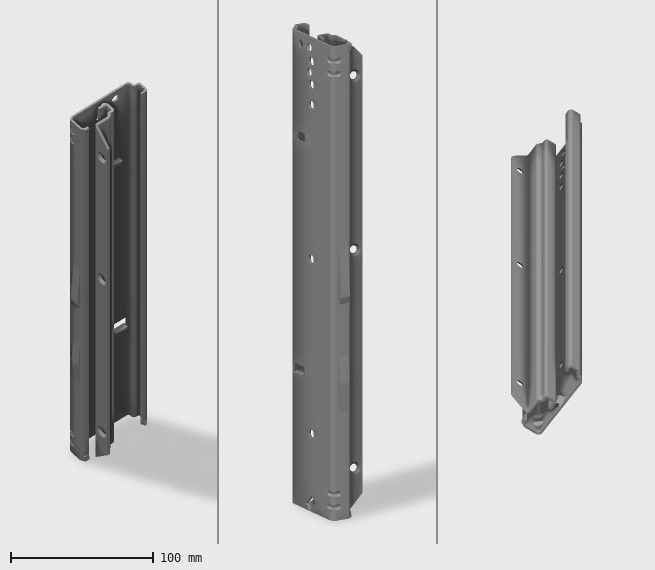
import cadquery as cq
import math

LENGTH = 350.0
HOOK_OVERHANG = 1.0

CHANNEL_SHEET = 1.5
CHANNEL_HEIGHT = 60.5
SHELF_HEIGHT = 55.5
HOOK_LEFT = 5.2
HOOK_RIGHT = 15.5
HOOK_DROP = 6.0
LIP_RIGHT = 16.0
LIP_HEIGHT = 5.5
WIDE_BEND = 2.8
HOOK_BEND = 1.8

BRACKET_SHEET = 2.0
BRACKET_BEND = 1.22
BRACKET_RIGHT = 31.5
BRACKET_TOP = 30.5
LEG_LEFT = 5.5
LEG_BOTTOM = 22.5
STEP_RIGHT = 15.5
STEP_HIGH = 25.5
STEP_LOW = 22.8
WEB_LEFT = 16.5
FLANGE_BOTTOM = 10.0
FLANGE_CHAMFER = 13.5

SCREW_X = 25.0
SCREW_HEIGHTS = (33.5, 194.2, 322.5)
SCREW_HOLE = 5.5
SCREW_HEAD = 9.5

SMALL_HOLE = 6.0
SMALL_HOLES = ((42.0, 342.0), (30.8, 342.0), (30.8, 323.8))
LARGE_HOLE = 6.3
LARGE_HOLES = tuple((28.0, z) for z in (58.5, 187.0, 300.3, 315.5, 332.0))

TAB_REACH = 5.2
TAB_THICKNESS = 2.0
TAB_BEND = 1.8
WINDOW_CORNER = 1.0
UPPER_WINDOW = {"y": 41.5, "z": 273.7, "width": 11.0, "height": 7.7, "tab": 7.5}
LOWER_WINDOW = {"y": 44.8, "z": 101.0, "width": 15.0, "height": 7.7, "tab": 10.5}

BRIDGE_Y = 28.7
BRIDGE_Z = 7.0
BRIDGE_LENGTH = 10.0
BRIDGE_WIDTH = 6.3
BRIDGE_CROWN = 4.0
BRIDGE_ANGLE = 45.0

RAMP_LEFT = 5.5
RAMP_RIGHT = 13.0
LATCH_RAMP = ((202.0, 0), (169.0, 2.0), (165.2, 2.0), (160.0, 0))
GUIDE_RAMP = ((121.5, 0), (102.5, 1.5), (100.5, 1.5), (81.2, 0))

DIMPLE_END_DISTANCES = (11.0, 20.5)
DIMPLE_RADIUS = 2.0
DIMPLE_WALL = 1.0
DIMPLE_AXIS = 4.2

FLARE_LENGTH = 5.0
LIP_FLARE_START = 1.8
LIP_FLARE_STEP = 0.5
LIP_FLARE = 0.7
HOOK_FLARE = 1.0
HOOK_FLARE_Y = (56.5, 58.5)


def bent_strip(path, radii, thickness):
    """Extrude a strip of sheet along Z; path is its mid-line, with one bend radius per inner corner."""
    points = [cq.Vector(x, y) for x, y in path]
    half = thickness / 2

    directions = [(end - start).normalized() for start, end in zip(points, points[1:])]

    def left_of(direction):
        return cq.Vector(-direction.y, direction.x)

    def bend(corner, radius, side):
        """Start, middle and finish of the arc on one side of a corner."""
        into, out = directions[corner - 1], directions[corner]
        turn = math.copysign(1, into.cross(out).z)
        tangent = radius * math.tan(into.getAngle(out) / 2)
        start = points[corner] - into * tangent
        finish = points[corner] + out * tangent
        centre = start + left_of(into) * (turn * radius)
        middle = centre + (points[corner] - centre).normalized() * radius
        scale = 1 - side * turn * half / radius
        return [centre + (point - centre) * scale for point in (start, middle, finish)]

    def add_bends(outline, bends):
        for start, middle, finish in bends:
            outline = outline.lineTo(start.x, start.y)
            outline = outline.threePointArc((middle.x, middle.y), (finish.x, finish.y))
        return outline

    left_bends = [bend(corner, radius, 1) for corner, radius in enumerate(radii, start=1)]
    right_bends = [bend(corner, radius, -1)[::-1] for corner, radius in enumerate(radii, start=1)]
    first_offset = left_of(directions[0]) * half
    last_offset = left_of(directions[-1]) * half
    first_left, first_right = points[0] + first_offset, points[0] - first_offset
    last_left, last_right = points[-1] + last_offset, points[-1] - last_offset

    outline = cq.Workplane("XY", origin=(0, 0, HOOK_OVERHANG)).moveTo(first_left.x, first_left.y)
    outline = add_bends(outline, left_bends)
    outline = outline.lineTo(last_left.x, last_left.y).lineTo(last_right.x, last_right.y)
    outline = add_bends(outline, reversed(right_bends))
    outline = outline.lineTo(first_right.x, first_right.y)
    return outline.close().extrude(LENGTH - HOOK_OVERHANG)


def block(x_range, y_range, z_range):
    """Box between two limits on each axis."""
    sizes = [high - low for low, high in (x_range, y_range, z_range)]
    corner = (x_range[0], y_range[0], z_range[0])
    return cq.Workplane("XY").box(*sizes, centered=False).translate(corner)


def channel_section():
    half = CHANNEL_SHEET / 2
    shelf = SHELF_HEIGHT - half
    crown = CHANNEL_HEIGHT - half
    path = [
        (LIP_RIGHT - half, LIP_HEIGHT),
        (LIP_RIGHT - half, half),
        (half, half),
        (half, shelf),
        (HOOK_LEFT + half, shelf),
        (HOOK_LEFT + half, crown),
        (HOOK_RIGHT - half, crown),
        (HOOK_RIGHT - half, CHANNEL_HEIGHT - HOOK_DROP),
    ]
    radii = [WIDE_BEND] * 3 + [HOOK_BEND] * 3
    return bent_strip(path, radii, CHANNEL_SHEET)


def plate_holes(places, diameter):
    return cq.Workplane("YZ").pushPoints(places).circle(diameter / 2).extrude(CHANNEL_SHEET)


def add_window(channel, window, hinge):
    """Cut a window and fold a tab inwards from its top (hinge = 1) or bottom (hinge = -1) edge."""
    edge = window["z"] + hinge * window["height"] / 2
    opening = (
        cq.Workplane("YZ")
        .center(window["y"], window["z"])
        .rect(window["width"], window["height"])
        .extrude(CHANNEL_SHEET)
        .edges("|X")
        .fillet(WINDOW_CORNER)
    )
    tab_half = window["tab"] / 2
    tab_z = sorted((edge, edge - hinge * TAB_THICKNESS))
    tab = block((0, TAB_REACH), (window["y"] - tab_half, window["y"] + tab_half), tab_z)
    bend_side = "<X and >Z" if hinge < 0 else "<X and <Z"
    tab = tab.edges(bend_side).fillet(TAB_BEND)
    return channel.cut(opening).union(tab)


def add_bridge(channel):
    """Strip slit along both long sides and pushed inwards, leaving an arched bridge."""
    half = BRIDGE_LENGTH / 2
    outer_crown = BRIDGE_CROWN + CHANNEL_SHEET
    crown_half = half - BRIDGE_CROWN + CHANNEL_SHEET
    side = BRIDGE_WIDTH / 2
    opening = block((0, CHANNEL_SHEET), (-half, half), (-side, side))
    bridge_outline = [
        (0, -half),
        (BRIDGE_CROWN, -crown_half),
        (BRIDGE_CROWN, crown_half),
        (0, half),
        (CHANNEL_SHEET, half),
        (outer_crown, crown_half),
        (outer_crown, -crown_half),
        (CHANNEL_SHEET, -half),
    ]
    bridge = cq.Workplane("XY", origin=(0, 0, -side)).polyline(bridge_outline).close().extrude(BRIDGE_WIDTH)

    def placed(shape):
        turned = shape.rotate((0, 0, 0), (1, 0, 0), -BRIDGE_ANGLE)
        return turned.translate((0, BRIDGE_Y, BRIDGE_Z))

    return channel.cut(placed(opening)).union(placed(bridge))


def flange_ramp(profile):
    """Raised ramp below the flange; profile lists (Z, depth below the flange)."""
    root = CHANNEL_SHEET / 2
    top_z, bottom_z = profile[0][0], profile[-1][0]
    outline = [(root, top_z)] + [(-depth, z) for z, depth in profile] + [(root, bottom_z)]
    ramp = cq.Workplane("YZ", origin=(RAMP_LEFT, 0, 0)).polyline(outline).close()
    return ramp.extrude(RAMP_RIGHT - RAMP_LEFT)


def dimple_rod(z, radius):
    """Cylinder lying across the lower bend at 45 degrees."""
    start = cq.Vector(2 * DIMPLE_AXIS, -DIMPLE_AXIS, z)
    length = 3 * DIMPLE_AXIS * math.sqrt(2)
    return cq.Workplane(cq.Solid.makeCylinder(radius, length, start, cq.Vector(-1, 1, 0)))


def add_dimples(channel):
    """Press each dimple into the bend: a bulge of sheet inside and a groove outside."""
    quarter = SHELF_HEIGHT / 2
    inside = block((0, quarter), (0, quarter), (0, LENGTH))
    for distance in DIMPLE_END_DISTANCES:
        for z in (distance, LENGTH - distance):
            bulge = dimple_rod(z, DIMPLE_RADIUS + DIMPLE_WALL).intersect(inside)
            corner = block((0, DIMPLE_AXIS / 2), (0, DIMPLE_AXIS / 2), (0, LENGTH))
            channel = channel.union(bulge.cut(corner)).cut(dimple_rod(z, DIMPLE_RADIUS))
    return channel


def end_flare(x, y_range, z_range, step, spread):
    """Wedge on the outer side of a lip; it grows from step to spread towards the second Z."""
    root = x - CHANNEL_SHEET / 2
    start_z, end_z = z_range
    outline = [(root, end_z), (x + spread, end_z), (x + step, start_z), (root, start_z)]
    wedge = cq.Workplane("XZ", origin=(0, y_range[1], 0)).polyline(outline).close()
    return wedge.extrude(y_range[1] - y_range[0])


def make_channel():
    channel = channel_section()
    channel = channel.cut(plate_holes(SMALL_HOLES, SMALL_HOLE))
    channel = channel.cut(plate_holes(LARGE_HOLES, LARGE_HOLE))
    channel = add_window(channel, UPPER_WINDOW, hinge=1)
    channel = add_window(channel, LOWER_WINDOW, hinge=-1)
    channel = add_bridge(channel)
    for profile in (LATCH_RAMP, GUIDE_RAMP):
        channel = channel.union(flange_ramp(profile))
    channel = add_dimples(channel)

    lip_y = (LIP_FLARE_START, LIP_HEIGHT)
    lower_end = (HOOK_OVERHANG + FLARE_LENGTH, HOOK_OVERHANG)
    upper_end = (LENGTH - FLARE_LENGTH, LENGTH)
    for z_range in (lower_end, upper_end):
        channel = channel.union(end_flare(LIP_RIGHT, lip_y, z_range, LIP_FLARE_STEP, LIP_FLARE))
    hook_z = (HOOK_OVERHANG + FLARE_LENGTH, 0)
    return channel.union(end_flare(HOOK_RIGHT, HOOK_FLARE_Y, hook_z, 0, HOOK_FLARE))


def countersunk_hole(z):
    """Cone through the whole flange, wide at the outer face."""
    centre = cq.Vector(SCREW_X, FLANGE_BOTTOM, z)
    cone = cq.Solid.makeCone(SCREW_HEAD / 2, SCREW_HOLE / 2, BRACKET_SHEET, centre, cq.Vector(0, 1, 0))
    return cq.Workplane(cone)


def make_bracket():
    half = BRACKET_SHEET / 2
    step_x = STEP_RIGHT - half
    web_x = WEB_LEFT + half
    path = [
        (LEG_LEFT + half, LEG_BOTTOM),
        (LEG_LEFT + half, BRACKET_TOP - half),
        (step_x, BRACKET_TOP - half),
        (step_x, STEP_HIGH),
        (web_x, STEP_LOW),
        (web_x, FLANGE_BOTTOM + half),
        (BRACKET_RIGHT, FLANGE_BOTTOM + half),
    ]
    bracket = bent_strip(path, [BRACKET_BEND] * 5, BRACKET_SHEET)
    bracket = bracket.edges("|Y and >X").chamfer(FLANGE_CHAMFER)
    for z in SCREW_HEIGHTS:
        bracket = bracket.cut(countersunk_hole(z))
    return bracket


channel = make_channel()
bracket = make_bracket()
result = cq.Compound.makeCompound([channel.val(), bracket.val()])